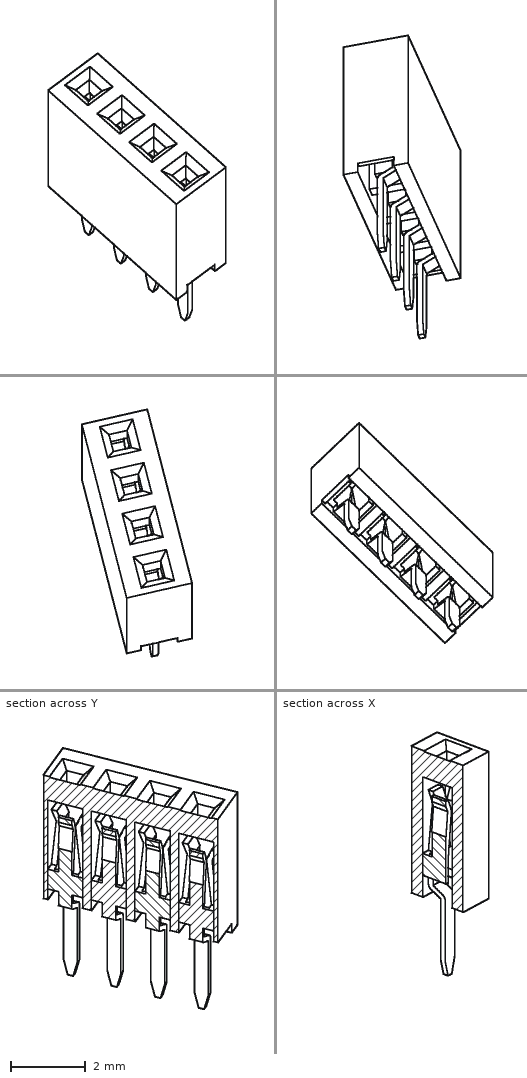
import cadquery as cq
import math

TOTAL_HEIGHT = 6.7
HOUSING_LENGTH = 5.08
HOUSING_DEPTH = 1.8
HOUSING_BOTTOM = 2.3
CONTACT_COUNT = 4
PITCH = HOUSING_LENGTH / CONTACT_COUNT

SLOT_WIDTH = 1.005
SLOT_HEIGHT = 0.3
SLOT_CEILING = HOUSING_BOTTOM + SLOT_HEIGHT

THROAT_SIZE = 0.495
FUNNEL_SIZE = 0.905
FUNNEL_DEPTH = (FUNNEL_SIZE - THROAT_SIZE) / 2
THROAT_LENGTH = 0.6
CHAMBER_SIZE = SLOT_WIDTH
CHAMBER_TOP = TOTAL_HEIGHT - FUNNEL_DEPTH - THROAT_LENGTH

SHEET = 0.16
PIN_WIDTH = 0.4
TIP_WIDTH = 0.16
TIP_LENGTH = 0.48
PIN_BEND_HEIGHT = HOUSING_BOTTOM
OFFSET_ANGLE = 28.0

CAGE_OUTER = CHAMBER_SIZE / 2
CAGE_INNER = CAGE_OUTER - SHEET
CAGE_BOTTOM = 2.95
CAGE_TOP = 3.62
CAGE_REAR = 0.3
LEAF_REACH = PIN_WIDTH / 2
LEAF_SIDE_FRONT = -0.195
LEAF_PINCH_HEIGHT = 5.09
LEAF_TOP = 5.43


def block(x_min, x_max, y_min, y_max, z_min, z_max):
    """Axis-aligned block between the given limits."""
    size = (x_max - x_min, y_max - y_min, z_max - z_min)
    return cq.Workplane("XY").box(*size, centered=False).translate((x_min, y_min, z_min))


def make_opening():
    """Space removed from the housing for one contact, centred on X = 0."""
    funnel = (
        cq.Workplane("XY", origin=(0, 0, TOTAL_HEIGHT - FUNNEL_DEPTH))
        .rect(THROAT_SIZE, THROAT_SIZE)
        .workplane(offset=FUNNEL_DEPTH)
        .rect(FUNNEL_SIZE, FUNNEL_SIZE)
        .loft(ruled=True)
    )
    half_throat = THROAT_SIZE / 2
    throat = block(
        -half_throat, half_throat, -half_throat, half_throat, CHAMBER_TOP, TOTAL_HEIGHT - FUNNEL_DEPTH
    )
    half_chamber = CHAMBER_SIZE / 2
    chamber = block(
        -half_chamber, half_chamber, -half_chamber, half_chamber, SLOT_CEILING, CHAMBER_TOP
    )
    return funnel.union(throat).union(chamber)


def make_housing(positions):
    """Insulator block with the underside slot and one opening per contact."""
    half_length = HOUSING_LENGTH / 2
    half_depth = HOUSING_DEPTH / 2
    half_slot = SLOT_WIDTH / 2
    housing = block(-half_length, half_length, -half_depth, half_depth, HOUSING_BOTTOM, TOTAL_HEIGHT)
    housing = housing.cut(
        block(-half_length, half_length, -half_slot, half_slot, HOUSING_BOTTOM, SLOT_CEILING)
    )
    for x in positions:
        housing = housing.cut(make_opening().translate((x, 0, 0)))
    return housing


def make_pin_strip():
    """Solder strip with two bends, each a sharp inside corner and a concentric outside arc."""
    slope = math.radians(OFFSET_ANGLE)
    arc_middle = (slope + math.pi / 2) / 2
    front = -SHEET / 2
    back = SHEET / 2

    end_y = SHEET * math.sin(slope)
    end_z = SHEET * math.cos(slope)
    mid_y = SHEET * math.sin(arc_middle)
    mid_z = SHEET * math.cos(arc_middle)

    lower_bend = PIN_BEND_HEIGHT
    sloped_run = CAGE_INNER + front + end_y
    upper_bend = lower_bend + end_z + sloped_run * math.tan(slope)

    strip = (
        cq.Workplane("YZ")
        .moveTo(front, 0)
        .lineTo(front, lower_bend)
        .lineTo(-CAGE_INNER - end_y, upper_bend - end_z)
        .threePointArc((-CAGE_INNER - mid_y, upper_bend - mid_z), (-CAGE_OUTER, upper_bend))
        .lineTo(-CAGE_OUTER, CAGE_BOTTOM)
        .lineTo(-CAGE_INNER, CAGE_BOTTOM)
        .lineTo(-CAGE_INNER, upper_bend)
        .lineTo(front + end_y, lower_bend + end_z)
        .threePointArc((front + mid_y, lower_bend + mid_z), (back, lower_bend))
        .lineTo(back, 0)
        .close()
        .extrude(PIN_WIDTH / 2, both=True)
    )
    outline = (
        cq.Workplane("XZ")
        .moveTo(-TIP_WIDTH / 2, 0)
        .lineTo(TIP_WIDTH / 2, 0)
        .lineTo(PIN_WIDTH / 2, TIP_LENGTH)
        .lineTo(PIN_WIDTH / 2, CAGE_BOTTOM)
        .lineTo(-PIN_WIDTH / 2, CAGE_BOTTOM)
        .lineTo(-PIN_WIDTH / 2, TIP_LENGTH)
        .close()
        .extrude(CHAMBER_SIZE, both=True)
    )
    return strip.intersect(outline)


def make_cage():
    """U-shaped band around the chamber wall, open at the back."""
    outer = block(-CAGE_OUTER, CAGE_OUTER, -CAGE_OUTER, CAGE_REAR, CAGE_BOTTOM, CAGE_TOP)
    inner = block(-CAGE_INNER, CAGE_INNER, -CAGE_INNER, CAGE_REAR, CAGE_BOTTOM, CAGE_TOP)
    return outer.cut(inner)


def leaf_profile(plane):
    """Spring leaf outline: leans in to the pinch point, then flares out to its free end."""
    pinch_outer = LEAF_REACH + SHEET
    return cq.Workplane(plane).polyline([
        (-CAGE_OUTER, CAGE_TOP),
        (-CAGE_INNER, CAGE_TOP),
        (-LEAF_REACH, LEAF_PINCH_HEIGHT),
        (-CAGE_INNER, LEAF_TOP),
        (-CAGE_OUTER, LEAF_TOP),
        (-pinch_outer, LEAF_PINCH_HEIGHT),
    ]).close()


def make_contact():
    """One contact: solder strip, cage, front leaf and two mirrored side leaves."""
    front_leaf = leaf_profile("YZ").extrude(PIN_WIDTH / 2, both=True)
    left_leaf = (
        leaf_profile("XZ")
        .extrude(-(CAGE_REAR - LEAF_SIDE_FRONT))
        .translate((0, LEAF_SIDE_FRONT, 0))
    )
    right_leaf = left_leaf.mirror("YZ")
    contact = make_pin_strip().union(make_cage())
    return contact.union(front_leaf).union(left_leaf).union(right_leaf)


middle_index = (CONTACT_COUNT - 1) / 2
positions = [(index - middle_index) * PITCH for index in range(CONTACT_COUNT)]

housing = make_housing(positions).solids().val()
contacts = [make_contact().translate((x, 0, 0)).solids().val() for x in positions]

result = cq.Compound.makeCompound([housing, *contacts])